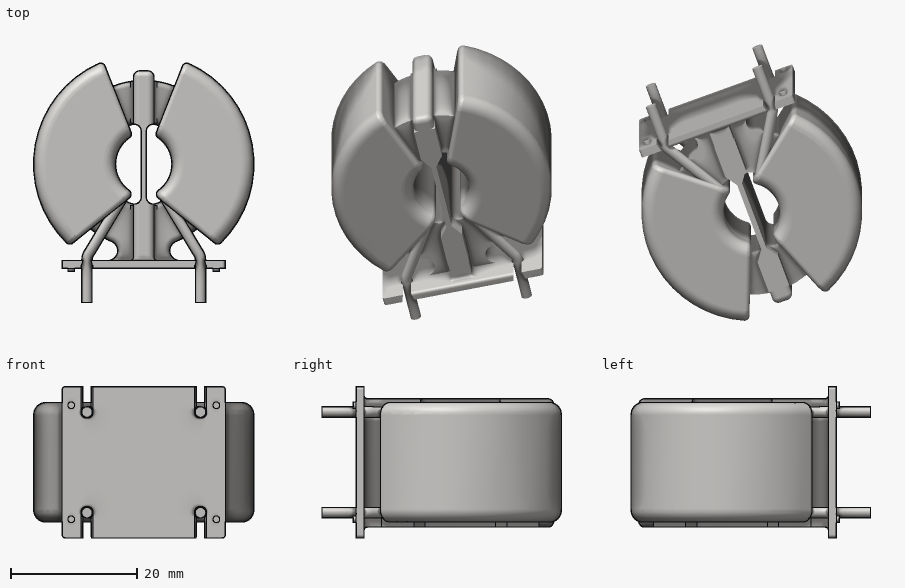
import cadquery as cq
import math


coil_diameter = 35.0
coil_radius = coil_diameter / 2
coil_height = 19.0
bore_radius = 5.1
bore_shift = 0.65
coil_edge_fillet = 1.98
coil_flank_fillet = 0.75
rear_flank_angle = 68.5
front_flank_angle = 38.6
front_flank_offset = 2.77

core_radius = 13.3
core_bore_radius = 6.55
core_height = 14.82
core_fillet = 0.9
neck_radius = 1.55

divider_top = 10.1
divider_bottom = -10.3
divider_height = divider_top - divider_bottom
divider_width = 3.25
divider_rear = 14.82
divider_fillet = 1.0
web_width = 0.85
web_fillet = 1.1
root_fillet = 0.5

base_width = 3.42
base_reach = 12.5
base_window_wide = 7.37
base_window_narrow = 5.6

plate_width = 25.9
plate_height = 24.0
plate_back = -15.28
plate_front = -16.53
plate_thickness = plate_back - plate_front
plate_corner_fillet = 0.5
nub_diameter = 1.05
nub_height = 0.5
nub_x = 11.5
nub_z = 9.05

wire_radius = 0.85
wire_x = 9.0
wire_z = 7.98
wire_tip = -21.95
wire_end = -5.32
wire_slant = 31.0
wire_bend_radius = 1.9
wire_bend_start = -15.2
slot_front_width = 1.98
slot_back_width = 1.3


def ray_to_circle(start, angle, center_x, radius):
    """Point where a ray from start meets a circle centred on X, leaving it from inside."""
    dx = math.cos(math.radians(angle))
    dy = math.sin(math.radians(angle))
    rel_x = start[0] - center_x
    along = rel_x * dx + start[1] * dy
    length = -along + math.sqrt(along**2 - rel_x**2 - start[1]**2 + radius**2)
    return (start[0] + length * dx, start[1] + length * dy)


def make_coil():
    """Winding on the +X side."""
    tilt = math.radians(front_flank_angle)
    foot = (-front_flank_offset * math.sin(tilt), -front_flank_offset * math.cos(tilt))
    rear_inner = ray_to_circle((0, 0), rear_flank_angle, -bore_shift, bore_radius)
    rear_outer = ray_to_circle((0, 0), rear_flank_angle, 0, coil_radius)
    front_inner = ray_to_circle(foot, -front_flank_angle, -bore_shift, bore_radius)
    front_outer = ray_to_circle(foot, -front_flank_angle, 0, coil_radius)
    coil = (
        cq.Workplane("XY")
        .workplane(offset=-coil_height / 2)
        .moveTo(*rear_inner)
        .lineTo(*rear_outer)
        .threePointArc((coil_radius, 0), front_outer)
        .lineTo(*front_inner)
        .threePointArc((bore_radius - bore_shift, 0), rear_inner)
        .close()
        .extrude(coil_height)
    )
    curved_edges = coil.faces("|Z").edges("%CIRCLE")
    coil = curved_edges.fillet(coil_edge_fillet)
    return coil.faces("%PLANE").faces("not |Z").edges().fillet(coil_flank_fillet)


def make_core():
    """Ring and leg, rounded along the upper edges."""
    neck_y = plate_back + neck_radius
    center_distance = core_radius + neck_radius
    neck_x = math.sqrt(center_distance**2 - neck_y**2)
    to_ring = core_radius / center_distance
    ring_touch = (neck_x * to_ring, neck_y * to_ring)
    waist = neck_x - neck_radius
    ring = cq.Workplane("XY").circle(core_radius).circle(core_bore_radius).extrude(core_height)
    leg = (
        cq.Workplane("XY")
        .moveTo(-neck_x, plate_back)
        .lineTo(neck_x, plate_back)
        .threePointArc((waist, neck_y), ring_touch)
        .lineTo(-ring_touch[0], ring_touch[1])
        .threePointArc((-waist, neck_y), (-neck_x, plate_back))
        .close()
        .extrude(core_height)
    )
    bore = cq.Workplane("XY").circle(core_bore_radius).extrude(core_height)
    core = ring.union(leg).cut(bore).translate((0, 0, -core_height / 2))
    return core.faces(">Z").edges("not <Y").fillet(core_fillet)


def make_divider():
    """Bars and web, with the core bore left open on both sides of the web."""
    length = divider_rear - plate_back
    divider_middle = (divider_top + divider_bottom) / 2
    divider = (
        cq.Workplane("XY")
        .box(divider_width, length, divider_height)
        .translate((0, (divider_rear + plate_back) / 2, divider_middle))
    )
    divider = divider.faces(">Z or >Y or <Z").edges("not <Y").fillet(divider_fillet)
    window = (
        cq.Workplane("XY")
        .circle(core_bore_radius)
        .extrude(divider_height)
        .translate((0, 0, divider_bottom))
    )
    web = (
        cq.Workplane("XY")
        .box(web_width, 2 * core_bore_radius, divider_height)
        .translate((0, 0, divider_middle))
    )
    return divider.cut(window.cut(web).edges("|Z").fillet(web_fillet))


def make_base():
    """Square-edged lower part of the divider, below the core."""
    height = -core_height / 2 - divider_bottom
    middle = divider_bottom + height / 2
    front_length = -base_reach - plate_back
    front_middle = (plate_back - base_reach) / 2
    block = cq.Workplane("XY").box(base_width, 2 * base_reach, height).translate((0, 0, middle))
    front = (
        cq.Workplane("XY")
        .box(divider_width, front_length, height)
        .translate((0, front_middle, middle))
    )
    return block.union(front)


def make_base_window():
    """Opening beside the web in the base, on the +X side."""
    half_base = base_width / 2
    half_web = web_width / 2
    return (
        cq.Workplane("XY")
        .workplane(offset=divider_bottom)
        .polyline([
            (half_web, -base_window_narrow),
            (half_base, -base_window_wide),
            (half_base, base_window_wide),
            (half_web, base_window_narrow),
        ])
        .close()
        .extrude(-core_height / 2 - divider_bottom)
    )


def make_plate():
    plate = (
        cq.Workplane("XY")
        .box(plate_width, plate_thickness, plate_height)
        .edges("|Y")
        .fillet(plate_corner_fillet)
        .translate((0, (plate_back + plate_front) / 2, 0))
    )
    slot_depth = plate_height / 2 - wire_z
    for side_x in (-1, 1):
        for side_z in (-1, 1):
            slot = (
                cq.Workplane("XY")
                .workplane(offset=wire_z)
                .center(wire_x, 0)
                .polyline([
                    (-slot_front_width / 2, plate_front),
                    (slot_front_width / 2, plate_front),
                    (slot_back_width / 2, plate_back),
                    (-slot_back_width / 2, plate_back),
                ])
                .close()
                .extrude(slot_depth)
            )
            if side_x < 0:
                slot = slot.mirror("YZ")
            if side_z < 0:
                slot = slot.mirror("XY")
            hole = (
                cq.Workplane("XZ", origin=(side_x * wire_x, plate_back, side_z * wire_z))
                .circle(slot_front_width / 2)
                .extrude(plate_thickness)
            )
            nub = (
                cq.Workplane("XZ", origin=(side_x * nub_x, plate_front, side_z * nub_z))
                .circle(nub_diameter / 2)
                .extrude(nub_height)
            )
            plate = plate.cut(slot).cut(hole).union(nub)
    return plate


def fillet_foot(body, level_low, level_high):
    """Round the divider's inner corners on the plate between two levels."""
    slack = 0.05
    half = divider_width / 2 + slack
    foot = body.edges(cq.selectors.BoxSelector(
        (-half, plate_back - slack, level_low),
        (half, plate_back + slack, level_high),
    ))
    return foot.fillet(root_fillet)


def make_root_strip(y_start, y_end):
    """Concave strip on the +X side of a bar, blending it into the core's upper face."""
    side = divider_width / 2
    top = core_height / 2
    arc_reach = root_fillet * (1 - math.sqrt(0.5))
    return (
        cq.Workplane("XZ", origin=(0, y_start, 0))
        .moveTo(side, top + root_fillet)
        .threePointArc((side + arc_reach, top + arc_reach), (side + root_fillet, top))
        .lineTo(side + root_fillet, top - core_fillet)
        .lineTo(side, top - core_fillet)
        .close()
        .extrude(y_start - y_end)
    )


def make_wire():
    """Wire of the +X coil at the upper level: straight pin, bend, slanted stretch."""
    def bend_point(angle):
        turn = math.radians(angle)
        return (
            wire_x - wire_bend_radius * (1 - math.cos(turn)),
            wire_bend_start + wire_bend_radius * math.sin(turn),
        )

    bend_end = bend_point(wire_slant)
    rise = wire_end - bend_end[1]
    inner_end = (bend_end[0] - rise * math.tan(math.radians(wire_slant)), wire_end)
    path = (
        cq.Workplane("XY", origin=(0, 0, wire_z))
        .moveTo(wire_x, wire_tip)
        .lineTo(wire_x, wire_bend_start)
        .threePointArc(bend_point(wire_slant / 2), bend_end)
        .lineTo(*inner_end)
    )
    return cq.Workplane("XZ", origin=(wire_x, wire_tip, wire_z)).circle(wire_radius).sweep(path)


base_window = make_base_window()
frame = make_core().union(make_divider()).union(make_base())
frame = frame.cut(base_window).cut(base_window.mirror("YZ")).union(make_plate())
frame = fillet_foot(frame, core_height / 2, plate_height / 2)
frame = fillet_foot(frame, -plate_height / 2, -core_height / 2)
strip_rear = math.sqrt(core_radius**2 - (divider_width / 2 + root_fillet)**2)
for span in ((plate_back, -core_bore_radius), (core_bore_radius, strip_rear)):
    strip = make_root_strip(*span)
    frame = frame.union(strip).union(strip.mirror("YZ"))

upper_wire = make_wire()
winding = make_coil().union(upper_wire).union(upper_wire.mirror("XY"))

result = frame.union(winding).union(winding.mirror("YZ"))